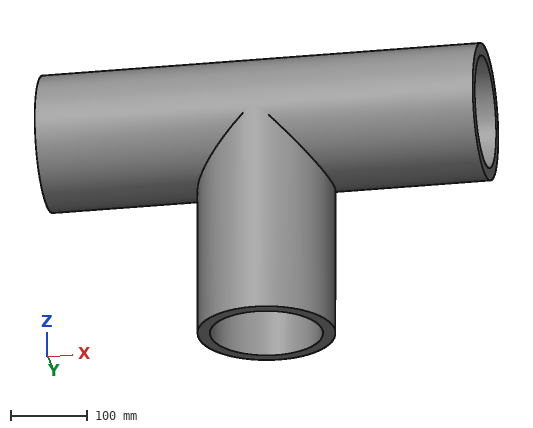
import cadquery as cq

run_length = 580.0
outer_diameter = 180.0
bore_diameter = 147.5
total_height = 380.0

branch_length = total_height - outer_diameter / 2


def tee(diameter):
    """Solid tee made of two equal cylinders with crossing axes."""
    radius = diameter / 2
    run = cq.Workplane("YZ").circle(radius).extrude(run_length / 2, both=True)
    branch = cq.Workplane("XY").circle(radius).extrude(-branch_length)
    return run.union(branch)


result = tee(outer_diameter).cut(tee(bore_diameter))